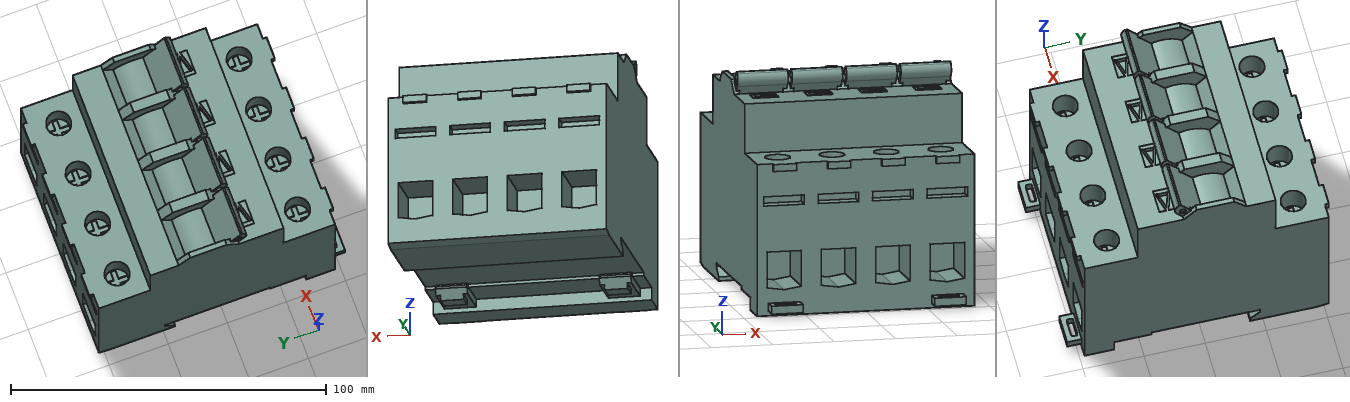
import cadquery as cq
import math


poles = 4
width = 70.8
pitch = width / poles
half_depth = 40.0
shoulder_z = 49.3
block_half_depth = 22.5
block_z = 65.3
hump_z = 69.2
hump_rear_foot = 13.0
hump_front_foot = -7.6
hump_run = hump_z - block_z
hump_front_run = 4.3

rail_z = 5.2
rail_rear_lip = 14.2
rail_rear_wall = 17.55
rail_lip_z = 1.4
rail_front_wall = -18.0
foot_rear_face = -30.2
heel_length = 4.0
heel_rise = 0.7

latch_width = 10.2
latch_bottom = 1.55
latch_top = 4.1
latch_front = -44.7
latch_nose = -15.6
latch_nose_z = 3.4
latch_hook_tip = -17.5
latch_hook_front = -22.8
latch_hook_width = 7.5
latch_stop_rear = -16.9
latch_slot_length = 6.6
latch_slot_width = 2.1
latch_slot_wall = 1.9
latch_slot_radius = 0.6

tab_width = 7.5
tab_height = 2.2
tab_reach = 1.3
slot_width = 13.2
slot_height = 3.0
slot_bottom = 35.7
slot_depth = 4.3
terminal_width = 11.2
terminal_top = 20.7
terminal_side_z = 9.1
terminal_mid_z = 8.25
terminal_depth = 15.5
screw_y = 30.5
screw_diameter = 8.0
screw_hole_depth = 8.6
screw_slot_length = 7.65
screw_slot_width = 1.6
screw_slot_depth = 0.9

window_width = 14.2
window_floor_z = 61.6
drum_y = 2.8
drum_z = 54.3
drum_radius = 10.0
lever_tilt = 50.0
lever_top_z = 72.75
lever_width = 16.4
lever_half_thickness = 1.9
lever_head_bottom = -2.1
lever_neck_length = 7.7
lever_bevel = 0.4
lever_nose_start = 0.35
lever_nose_bulge = (-1.3, 2.5)
lever_end_flat = 0.7
pin_y = -7.65
pin_z = 69.1
pin_diameter = 2.1
pin_end_recess = 0.4

mark_y = -11.6
mark_length = 8.2
mark_width = 5.4
mark_depth = 0.2
frame_base_x = -2.75
frame_base_half = 2.3
frame_tip_half = 0.4
triangle_base_half = 1.6
triangle_tip_x = 2.9
triangle_depth = 1.7

pole_centers = [(i - (poles - 1) / 2) * pitch for i in range(poles)]
latch_centers = [pole_centers[0], pole_centers[-1]]


def box(x_size, y_range, z_range):
    """Box centred on X = 0 that fills the given Y and Z ranges."""
    y_size = y_range[1] - y_range[0]
    z_size = z_range[1] - z_range[0]
    corner = cq.Vector(-x_size / 2, y_range[0], z_range[0])
    return cq.Workplane(cq.Solid.makeBox(x_size, y_size, z_size, corner))


def side_profile(points, x_size):
    """Outline in (Y, Z), extruded along X symmetrically about X = 0."""
    return cq.Workplane("YZ").polyline(points).close().extrude(x_size / 2, both=True)


def at_poles(shape, centers=pole_centers):
    """Copies of a shape at the given X positions, as one workplane."""
    copies = cq.Workplane("XY")
    for x in centers:
        copies = copies.add(shape.translate((x, 0, 0)))
    return copies.combine()


def make_housing():
    outline = [
        (-half_depth, 0),
        (-half_depth, shoulder_z),
        (-block_half_depth, shoulder_z),
        (-block_half_depth, block_z),
        (hump_front_foot, block_z),
        (hump_front_foot + hump_front_run, hump_z),
        (hump_rear_foot - hump_run, hump_z),
        (hump_rear_foot, block_z),
        (block_half_depth, block_z),
        (block_half_depth, shoulder_z),
        (half_depth, shoulder_z),
        (half_depth, heel_rise),
        (half_depth - heel_length, 0),
        (rail_rear_lip, 0),
        (rail_rear_lip, rail_lip_z),
        (rail_rear_wall, latch_top),
        (rail_rear_wall, rail_z),
        (rail_front_wall, rail_z),
        (rail_front_wall, latch_top),
        (foot_rear_face, latch_top),
        (foot_rear_face, 0),
    ]
    return side_profile(outline, width)


def make_tab():
    """Pair of tabs at the front and rear shoulder edges, joined through the housing."""
    reach = half_depth + tab_reach
    return box(tab_width, (-reach, reach), (shoulder_z - tab_height, shoulder_z))


def make_latch():
    nose_slope = (latch_nose - latch_hook_tip) / latch_nose_z
    latch_plate_rear = latch_hook_tip + nose_slope * latch_bottom
    outline = [
        (latch_front, latch_bottom),
        (latch_front, latch_top),
        (rail_front_wall, latch_top),
        (rail_front_wall, rail_z),
        (latch_stop_rear, rail_z),
        (latch_stop_rear, latch_top),
        (latch_nose, latch_top),
        (latch_nose, latch_nose_z),
        (latch_plate_rear, latch_bottom),
    ]
    hook_outline = [
        (latch_plate_rear, latch_bottom),
        (latch_hook_tip, 0),
        (latch_hook_front, 0),
        (latch_hook_front, latch_bottom),
    ]
    slot_front = latch_front + latch_slot_wall
    slot = box(
        latch_slot_length,
        (slot_front, slot_front + latch_slot_width),
        (latch_bottom, latch_top),
    )
    plate = side_profile(outline, latch_width).cut(slot.edges("|Z").fillet(latch_slot_radius))
    return plate.union(side_profile(hook_outline, latch_hook_width))


def make_terminal_cut():
    """Front-face openings of one pole: label slot and wire entry with a V floor."""
    slot = box(
        slot_width,
        (-half_depth, -half_depth + slot_depth),
        (slot_bottom, slot_bottom + slot_height),
    )
    half = terminal_width / 2
    entry_outline = [
        (-half, terminal_top),
        (-half, terminal_side_z),
        (0, terminal_mid_z),
        (half, terminal_side_z),
        (half, terminal_top),
    ]
    front_face = cq.Workplane("XZ", origin=(0, -half_depth, 0))
    return slot.union(front_face.polyline(entry_outline).close().extrude(-terminal_depth))


def make_screw_cut():
    """Screw well on the front shoulder with a cross slot in the screw head at its bottom."""
    head_z = shoulder_z - screw_hole_depth
    head = cq.Workplane("XY", origin=(0, -screw_y, head_z))
    well = head.circle(screw_diameter / 2).extrude(screw_hole_depth)
    slot_x = head.rect(screw_slot_length, screw_slot_width).extrude(-screw_slot_depth)
    slot_y = head.rect(screw_slot_width, screw_slot_length).extrude(-screw_slot_depth)
    return well.union(slot_x).union(slot_y)


def make_window_cut():
    floor_rear = hump_rear_foot - (block_z - window_floor_z)
    outline = [
        (hump_rear_foot, block_z),
        (floor_rear, window_floor_z),
        (hump_front_foot, window_floor_z),
        (hump_front_foot, hump_z),
        (hump_rear_foot, hump_z),
    ]
    return side_profile(outline, window_width)


def make_drum():
    base = cq.Workplane("YZ", origin=(-window_width / 2, 0, 0))
    return base.center(drum_y, drum_z).circle(drum_radius).extrude(window_width)


def make_lever():
    """Lever drawn upright around the pin axis, then tilted towards the front."""
    lean = 90 - lever_tilt
    lean_rad = math.radians(lean)
    tip_y = lever_half_thickness - lever_bevel
    head_top = (lever_top_z - pin_z - tip_y * math.sin(lean_rad)) / math.cos(lean_rad)
    thickness = (-lever_half_thickness, lever_half_thickness)
    head = (
        cq.Workplane("YZ")
        .moveTo(lever_half_thickness, lever_head_bottom)
        .lineTo(-lever_half_thickness, lever_head_bottom)
        .lineTo(-lever_half_thickness, lever_nose_start)
        .threePointArc(lever_nose_bulge, (tip_y - lever_end_flat, head_top))
        .lineTo(tip_y, head_top)
        .lineTo(lever_half_thickness, head_top - lever_bevel)
        .close()
        .extrude(lever_width / 2, both=True)
    )
    neck = box(window_width, thickness, (lever_head_bottom - lever_neck_length, lever_head_bottom))
    lever = head.union(neck).rotate((0, 0, 0), (1, 0, 0), lean)
    return lever.translate((0, pin_y, pin_z))


def make_pin(length):
    base = cq.Workplane("YZ", origin=(0, pin_y, pin_z))
    return base.circle(pin_diameter / 2).extrude(length / 2, both=True)


def make_mark_cut():
    half_length = mark_length / 2
    top = cq.Workplane("XY", origin=(0, mark_y, block_z))
    panel = top.rect(mark_length, mark_width).extrude(-mark_depth)
    frame_outline = [
        (frame_base_x, -frame_base_half),
        (half_length, -frame_tip_half),
        (half_length, frame_tip_half),
        (frame_base_x, frame_base_half),
    ]
    frame = top.polyline(frame_outline).close().extrude(-mark_depth)
    triangle = [
        (frame_base_x, -triangle_base_half),
        (triangle_tip_x, 0),
        (frame_base_x, triangle_base_half),
    ]
    return panel.cut(frame).union(top.polyline(triangle).close().extrude(-triangle_depth))


result = make_housing()
result = result.union(at_poles(make_tab()))
result = result.union(at_poles(make_latch(), latch_centers))

terminal_cut = at_poles(make_terminal_cut().union(make_screw_cut()))
result = result.cut(terminal_cut)
result = result.cut(terminal_cut.mirror("XZ"))

result = result.cut(at_poles(make_mark_cut()))
result = result.cut(at_poles(make_window_cut()))
result = result.union(at_poles(make_drum()))
result = result.union(at_poles(make_lever()))

levers_span = width - pitch + lever_width
result = result.cut(make_pin(levers_span))
result = result.union(make_pin(levers_span - 2 * pin_end_recess))